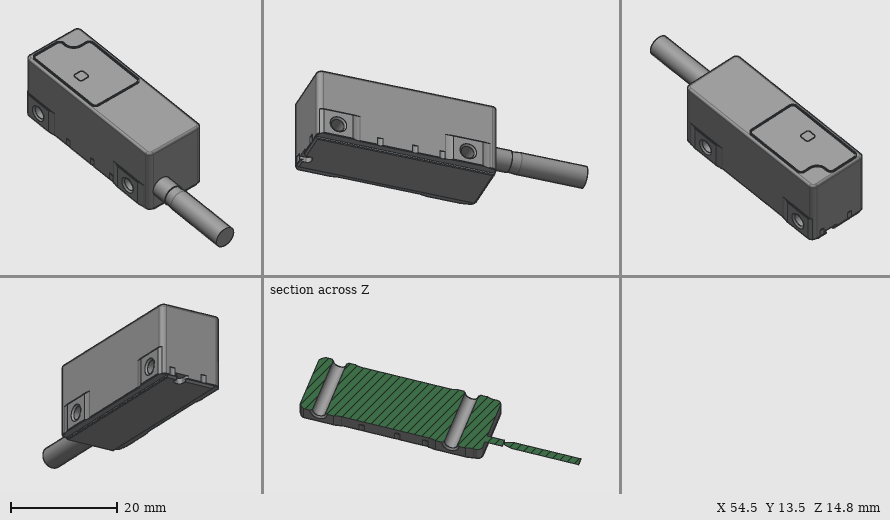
import cadquery as cq

TOTAL_LENGTH = 54.45
TOTAL_WIDTH = 13.5
TOTAL_HEIGHT = 14.8

HOUSING_LENGTH = 36.0
PAD_RISE = 0.25
HOUSING_WIDTH = TOTAL_WIDTH - 2 * PAD_RISE
CORNER_RADIUS = 1.05
TOP_EDGE_RADIUS = 0.5
BOTTOM_EDGE_CHAMFER = 0.135

PLATE_HEIGHT = 0.5
PLATE_WIDTH = 10.3
PLATE_END_CHAMFER = 0.45
PLATE_SIDE_CHAMFER = 0.15

HOLE_XS = (4.0, 30.0)
HOLE_Z = 3.1
HOLE_DIAMETER = 2.55
HOLE_CHAMFER = 0.4
PAD_FLAT = 5.95
PAD_RAMP = 1.45
PAD_TOP_Z = 6.05
PAD_END_X = 0.4
PAD_END_BEVEL_DROP = 0.5
PAD_TOP_CHAMFER = 0.135

HOLLOW_WIDTH = 1.1
HOLLOW_DEPTH = 0.15
HOLLOW_TOP_Z = 2.1
FRONT_HOLLOW_XS = (12.4, 19.45, 24.95)
END_HOLLOW_YS = (4.2, -2.7)

SLOT_Y = 2.05
SLOT_WIDTH = 1.95
SLOT_DEPTH = 1.95
SLOT_TOP_Z = 1.15
SLOT_CORNER_RADIUS = 0.8
SLOT_MOUTH_RADIUS = 0.5

COVER_LEFT = 0.85
COVER_RIGHT = 19.1
COVER_HALF_WIDTH = 5.6
COVER_STEP_X = 4.4
COVER_STEP_Y = 1.3
COVER_STEP_RADIUS = 2.0
COVER_CORNER_RADIUS = 0.85
GROOVE_WIDTH = 0.25
GROOVE_DEPTH = 0.15

WINDOW_X = 10.9
WINDOW_Y = -1.95
WINDOW_SIZE = 2.2
WINDOW_CORNER_RADIUS = 0.5
WINDOW_DEPTH = 0.1

CABLE_Y = -3.4
CABLE_Z = 5.05
CABLE_RADIUS = 2.1
CABLE_NECK_RADIUS = 1.95
CABLE_NECK_START = 39.35
CABLE_NECK_END = 41.2


def make_housing():
    """Main block with rounded upright corners and a rounded top rim."""
    return (
        cq.Workplane("XY", origin=(HOUSING_LENGTH / 2, 0, PLATE_HEIGHT))
        .rect(HOUSING_LENGTH, HOUSING_WIDTH)
        .extrude(TOTAL_HEIGHT - PLATE_HEIGHT)
        .edges("|Z").fillet(CORNER_RADIUS)
        .faces(">Z").edges().fillet(TOP_EDGE_RADIUS)
        .faces("<Z").edges().chamfer(BOTTOM_EDGE_CHAMFER)
    )


def make_pad(hole_x):
    """Bar across the housing that stands proud on both sides.

    Its ends sweep down into the housing sides along hollow arcs. An end that
    would run past the housing is beveled from the upright corner rounding instead.
    """
    flat = PAD_FLAT / 2
    foot = flat + PAD_RAMP
    outer = TOTAL_WIDTH / 2
    inner = HOUSING_WIDTH / 2
    ramp_radius = (PAD_RAMP ** 2 + PAD_RISE ** 2) / (2 * PAD_RISE)
    reaches_end = hole_x < foot
    outline = (
        cq.Workplane("XY", origin=(0, 0, PLATE_HEIGHT))
        .moveTo(hole_x + flat, -outer)
        .radiusArc((hole_x + foot, -inner), ramp_radius)
        .lineTo(hole_x + foot, inner)
        .radiusArc((hole_x + flat, outer), ramp_radius)
    )
    if reaches_end:
        bevel_end = outer - PAD_END_BEVEL_DROP
        outline = (
            outline.lineTo(CORNER_RADIUS, outer)
            .lineTo(PAD_END_X, bevel_end)
            .lineTo(PAD_END_X, -bevel_end)
            .lineTo(CORNER_RADIUS, -outer)
        )
    else:
        outline = (
            outline.lineTo(hole_x - flat, outer)
            .radiusArc((hole_x - foot, inner), ramp_radius)
            .lineTo(hole_x - foot, -inner)
            .radiusArc((hole_x - flat, -outer), ramp_radius)
        )
    pad = outline.close().extrude(PAD_TOP_Z - PLATE_HEIGHT)
    pad = pad.faces(">Z").edges(">Y or <Y").chamfer(PAD_TOP_CHAMFER)
    return pad.faces("<Z").edges(">Y or <Y").chamfer(BOTTOM_EDGE_CHAMFER)


def make_plate():
    """Base plate with sloped ends and slightly chamfered long edges."""
    plate = cq.Workplane("XY").box(
        HOUSING_LENGTH, PLATE_WIDTH, PLATE_HEIGHT, centered=(False, True, False)
    )
    plate = plate.edges("<Z and |Y").chamfer(PLATE_END_CHAMFER)
    return plate.faces("<Z").edges("|X").chamfer(PLATE_SIDE_CHAMFER)


def make_cable():
    """Round cable with a tapered neck, turned about its own axis."""
    return (
        cq.Workplane("XZ", origin=(0, CABLE_Y, CABLE_Z))
        .moveTo(HOUSING_LENGTH - CORNER_RADIUS, 0)
        .lineTo(HOUSING_LENGTH - CORNER_RADIUS, CABLE_RADIUS)
        .lineTo(CABLE_NECK_START, CABLE_RADIUS)
        .lineTo(CABLE_NECK_START, CABLE_NECK_RADIUS)
        .lineTo(CABLE_NECK_END, CABLE_RADIUS)
        .lineTo(TOTAL_LENGTH, CABLE_RADIUS)
        .lineTo(TOTAL_LENGTH, 0)
        .close()
        .revolve(360, (0, 0, 0), (1, 0, 0))
    )


def make_hole(hole_x):
    """Through hole along Y with a chamfered mouth on each side."""
    radius = HOLE_DIAMETER / 2
    mouth = radius + HOLE_CHAMFER
    half = TOTAL_WIDTH / 2
    return (
        cq.Workplane("XY", origin=(hole_x, 0, HOLE_Z))
        .polyline([(0, -half), (mouth, -half), (radius, HOLE_CHAMFER - half),
                   (radius, half - HOLE_CHAMFER), (mouth, half), (0, half)])
        .close()
        .revolve(360, (0, 0, 0), (0, 1, 0))
    )


def make_hollow(x, y):
    """Upright cylinder whose flank scoops a shallow hollow at the given face point."""
    radius = HOLLOW_WIDTH ** 2 / (8 * HOLLOW_DEPTH) + HOLLOW_DEPTH / 2
    offset = radius - HOLLOW_DEPTH
    on_end = x == 0
    center = (-offset, y) if on_end else (x, y - offset)
    return (
        cq.Workplane("XY", origin=(*center, PLATE_HEIGHT))
        .circle(radius)
        .extrude(HOLLOW_TOP_Z - PLATE_HEIGHT)
    )


def make_slot():
    """Slot open to the end and the underside, with a flared mouth above the plate."""
    half = SLOT_WIDTH / 2
    slot = (
        cq.Workplane("XY", origin=(0, SLOT_Y, 0))
        .rect(2 * SLOT_DEPTH, SLOT_WIDTH)
        .extrude(SLOT_TOP_Z)
        .edges("|Z").fillet(SLOT_CORNER_RADIUS)
    )
    for side in (1, -1):
        flare = (
            cq.Workplane("XY", origin=(0, SLOT_Y, PLATE_HEIGHT))
            .moveTo(0, 0)
            .lineTo(0, side * (half + SLOT_MOUTH_RADIUS))
            .radiusArc((SLOT_MOUTH_RADIUS, side * half), -side * SLOT_MOUTH_RADIUS)
            .lineTo(SLOT_MOUTH_RADIUS, 0)
            .close()
            .extrude(SLOT_TOP_Z - PLATE_HEIGHT)
        )
        slot = slot.union(flare)
    return slot


def cover_outline(offset):
    """Cover area, grown outward by the given offset (shrunk if negative), as deep as the groove."""
    cover = (
        cq.Workplane("XY", origin=(0, 0, TOTAL_HEIGHT - GROOVE_DEPTH))
        .moveTo(COVER_LEFT, -COVER_HALF_WIDTH)
        .lineTo(COVER_RIGHT, -COVER_HALF_WIDTH)
        .lineTo(COVER_RIGHT, COVER_HALF_WIDTH)
        .lineTo(COVER_STEP_X, COVER_HALF_WIDTH)
        .lineTo(COVER_STEP_X, COVER_STEP_Y)
        .lineTo(COVER_LEFT, COVER_STEP_Y)
        .close()
        .extrude(GROOVE_DEPTH)
    )
    inner_corner = cq.selectors.NearestToPointSelector((COVER_STEP_X, COVER_STEP_Y, TOTAL_HEIGHT))
    cover = cover.edges("|Z").edges(inner_corner).fillet(COVER_STEP_RADIUS)
    for x, y in ((COVER_LEFT, -COVER_HALF_WIDTH), (COVER_RIGHT, -COVER_HALF_WIDTH),
                 (COVER_RIGHT, COVER_HALF_WIDTH), (COVER_STEP_X, COVER_HALF_WIDTH),
                 (COVER_LEFT, COVER_STEP_Y)):
        corner = cq.selectors.NearestToPointSelector((x, y, TOTAL_HEIGHT))
        cover = cover.edges("|Z").edges(corner).fillet(COVER_CORNER_RADIUS)
    return cover.faces("<Z").wires().toPending().offset2D(offset).extrude(GROOVE_DEPTH, combine=False)


def make_window():
    """Shallow square recess with rounded corners."""
    return (
        cq.Workplane("XY", origin=(WINDOW_X, WINDOW_Y, TOTAL_HEIGHT - WINDOW_DEPTH))
        .rect(WINDOW_SIZE, WINDOW_SIZE)
        .extrude(WINDOW_DEPTH)
        .edges("|Z").fillet(WINDOW_CORNER_RADIUS)
    )


result = make_housing().union(make_plate()).union(make_cable())
for hole_x in HOLE_XS:
    result = result.union(make_pad(hole_x))
for hole_x in HOLE_XS:
    result = result.cut(make_hole(hole_x))
for x in FRONT_HOLLOW_XS:
    result = result.cut(make_hollow(x, -HOUSING_WIDTH / 2))
for y in END_HOLLOW_YS:
    result = result.cut(make_hollow(0, y))
result = result.cut(make_slot())
groove = cover_outline(GROOVE_WIDTH / 2).cut(cover_outline(-GROOVE_WIDTH / 2))
result = result.cut(groove).cut(make_window())